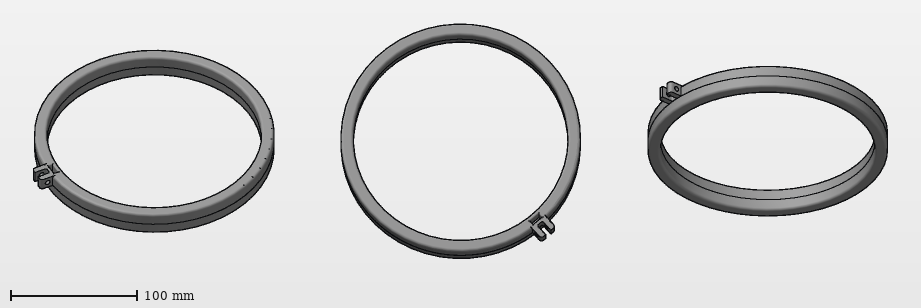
import cadquery as cq

outer_radius = 190.0 / 2
inner_radius = 170.0 / 2
total_height = 20.0
ring_height = total_height / 2
edge_fillet = 2.2

overall_length = 200.2
lug_end_y = outer_radius - overall_length
lug_width = 15.0
lug_corner_radius = 2.5
lug_root_y = -90.0
slot_width = 5.5
slot_depth = 10.2
slot_corner_radius = 1.2
cross_hole_diameter = 4.0
cross_hole_from_end = 6.0

mouth_width = 11.2
mouth_length = 5.6
mouth_fillet = 1.0
mouth_inner_y = -87.5


def plain_ring(base_z):
    """Square-section ring with its underside at base_z."""
    return (
        cq.Workplane("XY", origin=(0, 0, base_z))
        .circle(outer_radius)
        .circle(inner_radius)
        .extrude(ring_height)
    )


def block(width, y_min, y_max, z_min, z_max):
    """Box centred on X = 0 between the given Y and Z limits."""
    return cq.Workplane("XY", origin=(0, y_min, z_min)).box(
        width, y_max - y_min, z_max - z_min, centered=(True, False, False)
    )


def make_lower_ring():
    return plain_ring(0).faces("<Z").edges().fillet(edge_fillet)


def make_lug():
    lug = block(lug_width, lug_end_y, lug_root_y, ring_height, total_height)
    lug = lug.edges("|Z and <Y").fillet(lug_corner_radius)
    slot = block(slot_width, lug_end_y, lug_end_y + slot_depth, ring_height, total_height)
    slot = slot.edges("|Z and >Y").fillet(slot_corner_radius)
    cross_hole = (
        cq.Workplane("YZ")
        .center(lug_end_y + cross_hole_from_end, ring_height + ring_height / 2)
        .circle(cross_hole_diameter / 2)
        .extrude(lug_width / 2, both=True)
    )
    return lug.cut(slot).cut(cross_hole)


def make_window():
    """Straight-walled cutter for the window, smaller than its rounded mouth on every side."""
    wall_width = mouth_width - 2 * mouth_fillet
    wall_inner_y = mouth_inner_y - mouth_fillet
    wall_outer_y = mouth_inner_y - mouth_length + mouth_fillet
    return block(wall_width, wall_outer_y, wall_inner_y, ring_height, total_height)


def make_upper_ring():
    ring = plain_ring(ring_height).faces(">Z").edges().fillet(edge_fillet)
    ring = ring.union(make_lug()).cut(make_window())
    mouth_edges = ring.faces(">Z").edges(
        cq.selectors.BoxSelector(
            (-mouth_width / 2, mouth_inner_y - mouth_length, total_height - mouth_fillet),
            (mouth_width / 2, mouth_inner_y, total_height + mouth_fillet),
        )
    )
    return mouth_edges.fillet(mouth_fillet)


lower_ring = make_lower_ring()
upper_ring = make_upper_ring()

result = cq.Compound.makeCompound([lower_ring.val(), upper_ring.val()])